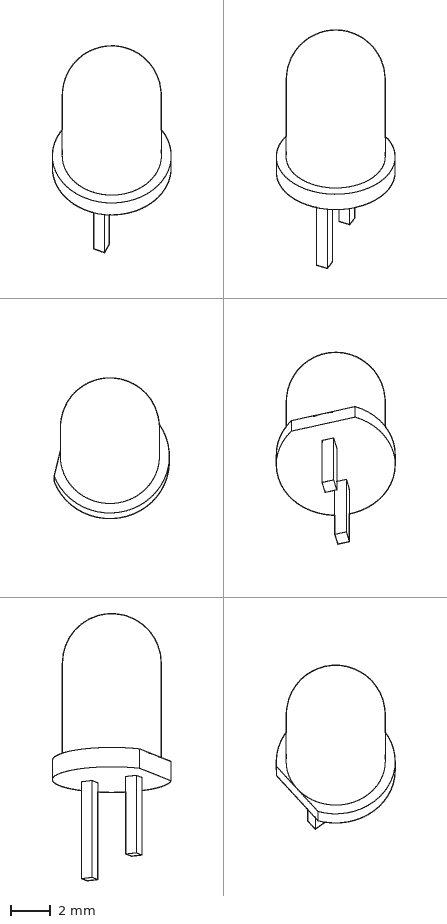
import cadquery as cq

total_height = 13.5
lens_diameter = 5.0
flange_diameter = 6.0
flange_height = 1.0
long_lead_length = 5.0
short_lead_length = 4.0
lead_width = 0.61
lead_spacing = 2.54

lens_radius = lens_diameter / 2
flange_radius = flange_diameter / 2
lens_height = total_height - long_lead_length
dome_base = lens_height - lens_radius
lead_overlap = flange_height / 2


def make_lens():
    """Cylinder with a hemispherical top, standing on the flange underside."""
    cylinder = cq.Workplane("XY").circle(lens_radius).extrude(dome_base)
    return cylinder.union(cq.Workplane("XY").sphere(lens_radius).translate((0, 0, dome_base)))


def make_flange():
    """Disc cut flat on the +Y side, tangent to the lens."""
    disc = cq.Workplane("XY").circle(flange_radius).extrude(flange_height)
    keep_depth = flange_radius + lens_radius
    keep = (
        cq.Workplane("XY")
        .center(0, lens_radius - keep_depth / 2)
        .rect(flange_diameter, keep_depth)
        .extrude(flange_height)
    )
    return disc.intersect(keep)


def make_lead(y, length):
    """Square lead hanging below the flange."""
    return (
        cq.Workplane("XY", origin=(0, y, -length))
        .rect(lead_width, lead_width)
        .extrude(length + lead_overlap)
    )


result = make_flange().union(make_lens())
result = result.union(make_lead(-lead_spacing / 2, long_lead_length))
result = result.union(make_lead(lead_spacing / 2, short_lead_length))